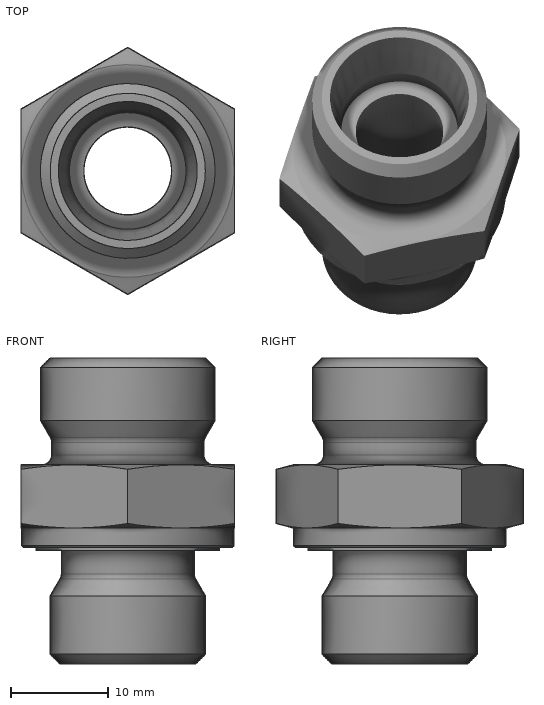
import cadquery as cq
import math

total_height = 31.5
collar_bottom = 12.0
hex_bottom = 14.0
hex_top = 20.5
lower_thread_top = 7.0
upper_thread_bottom = 25.07

upper_thread_diameter = 18.0
upper_neck_diameter = 15.7
lower_thread_diameter = 16.0
lower_neck_diameter = 13.7
collar_diameter = 21.9
hex_across_flats = 22.02

thread_chamfer = 1.0
collar_chamfer = 0.2
neck_fillet = 1.0
relief_angle = math.radians(30)
hex_chamfer_angle = math.radians(15)

bore_diameter = 9.0
tube_diameter = 12.0
cone_mouth_diameter = 14.3
cone_half_angle = math.radians(12)
tube_stop_depth = 7.0

groove_diameter = 19.0
ring_outer_diameter = 18.9
ring_inner_diameter = 13.8
ring_thickness = 1.5
ring_protrusion = 0.3
groove_top = collar_bottom - ring_protrusion + ring_thickness


def revolve_profile(profile):
    """Turn a closed XZ profile around the Z axis."""
    return profile.close().revolve(360, (0, 0, 0), (0, 1, 0))


def relief_points(thread_radius, neck_radius, thread_end, direction):
    """Cone end, arc middle and arc end of a thread run-out; direction is +1 up or -1 down."""
    def arc_point(angle, arc_end):
        radius = neck_radius + neck_fillet * (1 - math.cos(angle))
        return (radius, arc_end - direction * neck_fillet * math.sin(angle))

    cone_end_radius = arc_point(relief_angle, 0)[0]
    cone_length = (thread_radius - cone_end_radius) / math.tan(relief_angle)
    arc_end = thread_end + direction * (cone_length + neck_fillet * math.sin(relief_angle))
    return [arc_point(angle, arc_end) for angle in (relief_angle, relief_angle / 2, 0)]


def make_turned_body():
    """Both threaded ends, their necks and the collar, with the seal groove left open."""
    lower_radius = lower_thread_diameter / 2
    lower_neck = lower_neck_diameter / 2
    upper_radius = upper_thread_diameter / 2
    upper_neck = upper_neck_diameter / 2
    collar_radius = collar_diameter / 2
    lower_relief = relief_points(lower_radius, lower_neck, lower_thread_top, 1)
    upper_relief = relief_points(upper_radius, upper_neck, upper_thread_bottom, -1)
    fillet_offset = neck_fillet * (1 - math.sqrt(0.5))

    profile = (
        cq.Workplane("XZ")
        .lineTo(lower_radius - thread_chamfer, 0)
        .lineTo(lower_radius, thread_chamfer)
        .lineTo(lower_radius, lower_thread_top)
        .lineTo(*lower_relief[0])
        .threePointArc(lower_relief[1], lower_relief[2])
        .lineTo(lower_neck, groove_top)
        .lineTo(groove_diameter / 2, groove_top)
        .lineTo(groove_diameter / 2, collar_bottom)
        .lineTo(collar_radius - collar_chamfer, collar_bottom)
        .lineTo(collar_radius, collar_bottom + collar_chamfer)
        .lineTo(collar_radius, hex_top)
        .lineTo(upper_neck + neck_fillet, hex_top)
        .threePointArc(
            (upper_neck + fillet_offset, hex_top + fillet_offset),
            (upper_neck, hex_top + neck_fillet),
        )
        .lineTo(*upper_relief[2])
        .threePointArc(upper_relief[1], upper_relief[0])
        .lineTo(upper_radius, upper_thread_bottom)
        .lineTo(upper_radius, total_height - thread_chamfer)
        .lineTo(upper_radius - thread_chamfer, total_height)
        .lineTo(0, total_height)
    )
    return revolve_profile(profile)


def make_hexagon():
    """Hexagon with corners on the Y axis and conical chamfers on both ends."""
    corner_diameter = hex_across_flats / math.cos(math.radians(30))
    prism = (
        cq.Workplane("XY", origin=(0, 0, hex_bottom))
        .polygon(6, corner_diameter)
        .extrude(hex_top - hex_bottom)
        .rotate((0, 0, 0), (0, 0, 1), 30)
    )
    corner_radius = corner_diameter / 2
    chamfer_radius = collar_diameter / 2
    corner_drop = (corner_radius - chamfer_radius) * math.tan(hex_chamfer_angle)
    envelope = (
        cq.Workplane("XZ")
        .moveTo(0, hex_bottom)
        .lineTo(chamfer_radius, hex_bottom)
        .lineTo(corner_radius, hex_bottom + corner_drop)
        .lineTo(corner_radius, hex_top - corner_drop)
        .lineTo(chamfer_radius, hex_top)
        .lineTo(0, hex_top)
    )
    return prism.intersect(revolve_profile(envelope))


def make_bore():
    """Through bore, tube socket and the tapered mouth at the upper end."""
    bore_radius = bore_diameter / 2
    tube_radius = tube_diameter / 2
    mouth_radius = cone_mouth_diameter / 2
    cone_depth = (mouth_radius - tube_radius) / math.tan(cone_half_angle)
    socket_floor = total_height - tube_stop_depth
    profile = (
        cq.Workplane("XZ")
        .lineTo(bore_radius, 0)
        .lineTo(bore_radius, socket_floor)
        .lineTo(tube_radius, socket_floor)
        .lineTo(tube_radius, total_height - cone_depth)
        .lineTo(mouth_radius, total_height)
        .lineTo(0, total_height)
    )
    return revolve_profile(profile)


def make_fitting():
    """Threaded fitting body."""
    return make_turned_body().union(make_hexagon()).cut(make_bore())


def make_sealing_ring():
    """Flat ring seated on the groove floor and standing slightly proud of the collar."""
    return (
        cq.Workplane("XY", origin=(0, 0, groove_top - ring_thickness))
        .circle(ring_outer_diameter / 2)
        .circle(ring_inner_diameter / 2)
        .extrude(ring_thickness)
    )


fitting = make_fitting()
sealing_ring = make_sealing_ring()

result = cq.Compound.makeCompound([fitting.val(), sealing_ring.val()])